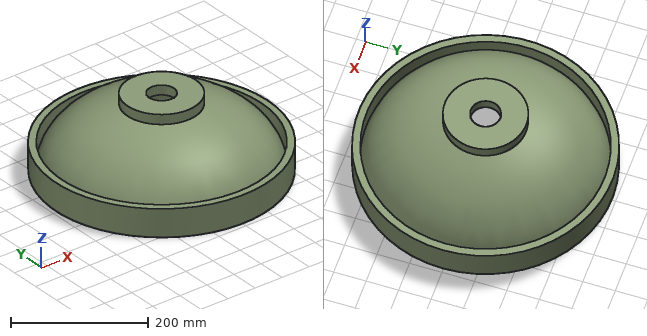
import cadquery as cq

rim_radius = 195.0
total_height = 132.0

rim_height = 50.0
rim_wall = 12.0
rim_inner_radius = rim_radius - rim_wall
bottom_fillet = 3.0

hub_radius = 62.5
bore_radius = 22.5

dome_radius = 185.0
dome_height = 122.0
crown_wall = 6.0


def half_ellipsoid(radius, height):
    """Solid half ellipsoid of revolution standing on the base plane."""
    profile = (
        cq.Workplane("XZ")
        .ellipseArc(radius, height, 0, 90, startAtCurrent=False)
        .lineTo(0, 0)
        .close()
    )
    return profile.revolve(360, (0, 0, 0), (0, 1, 0))


def cylinder(radius, height):
    """Upright cylinder standing on the base plane."""
    return cq.Workplane("XY").circle(radius).extrude(height)


rim = cylinder(rim_radius, rim_height).faces("<Z").edges().fillet(bottom_fillet)
rim = rim.cut(cylinder(rim_inner_radius, rim_height))

dome = half_ellipsoid(dome_radius, dome_height)
hub = cylinder(hub_radius, total_height)
hollow = half_ellipsoid(rim_inner_radius, dome_height - crown_wall)
bore = cylinder(bore_radius, total_height)

result = rim.union(dome).union(hub).cut(hollow).cut(bore)